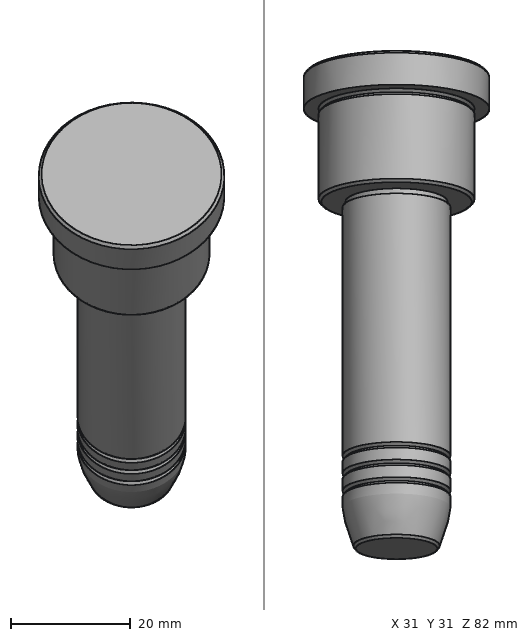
import cadquery as cq

total_height = 82.0
flange_radius = 15.5
body_radius = 13.0
pin_radius = 9.0

flange_height = 6.0
body_height = 16.1
relief_height = 1.0
edge_chamfer = 0.5

relief_depth = 0.5
groove_depth = 0.5
groove_half_width = 0.5
groove_pitch = 3.0
groove_count = 3
first_groove_height = 15.5

lead_height = 7.05
tip_radius = 7.2
tip_chamfer_height = 0.5
tip_chamfer_width = 0.4
lead_bulge = 0.25

flange_bottom = total_height - flange_height
body_bottom = flange_bottom - body_height
pin_top = body_bottom - relief_height


def revolved_profile():
    """Solid of revolution about Z with steps, flange undercut and convex lead-in."""
    relief_radius = pin_radius - relief_depth
    lead_middle = (
        (pin_radius + tip_radius) / 2 + lead_bulge,
        (lead_height + tip_chamfer_height) / 2,
    )
    profile = (
        cq.Workplane("XZ")
        .moveTo(0, 0)
        .lineTo(tip_radius - tip_chamfer_width, 0)
        .lineTo(tip_radius, tip_chamfer_height)
        .threePointArc(lead_middle, (pin_radius, lead_height))
        .lineTo(pin_radius, pin_top)
        .lineTo(relief_radius, pin_top)
        .lineTo(relief_radius, body_bottom)
        .lineTo(body_radius - edge_chamfer, body_bottom)
        .lineTo(body_radius, body_bottom + edge_chamfer)
        .lineTo(body_radius, flange_bottom - 2 * groove_half_width)
        .lineTo(body_radius - groove_depth, flange_bottom - groove_half_width)
        .lineTo(body_radius, flange_bottom)
        .lineTo(flange_radius, flange_bottom)
        .lineTo(flange_radius, total_height - edge_chamfer)
        .lineTo(flange_radius - edge_chamfer, total_height)
        .lineTo(0, total_height)
        .close()
    )
    return profile.revolve(360, (0, 0, 0), (0, 1, 0))


def ring_groove(surface_radius, height):
    """Ring that cuts a V groove centred at the given height."""
    outer_radius = surface_radius + groove_depth
    outer_half_width = 2 * groove_half_width
    section = (
        cq.Workplane("XZ")
        .moveTo(surface_radius - groove_depth, height)
        .lineTo(outer_radius, height + outer_half_width)
        .lineTo(outer_radius, height - outer_half_width)
        .close()
    )
    return section.revolve(360, (0, 0, 0), (0, 1, 0))


result = revolved_profile()

for index in range(groove_count):
    result = result.cut(ring_groove(pin_radius, first_groove_height - index * groove_pitch))